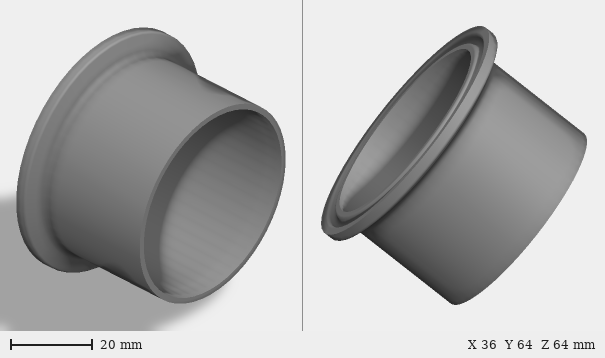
import cadquery as cq
import math

length = 36.0
flange_radius = 64 / 2
tube_radius = 53.0 / 2
bore_radius = 50.0 / 2

rim_width = 2.25
cone_angle = math.radians(20)
corner_radius = 0.8
cove_radius = 2.0

groove_outer_radius = 30.15
groove_inner_radius = 26.25
groove_center_radius = (groove_outer_radius + groove_inner_radius) / 2
groove_half_width = (groove_outer_radius - groove_inner_radius) / 2
groove_wall_angle = math.radians(70)
groove_edge_radius = 0.8
groove_bottom_radius = 1.15


def arc_point(center, radius, angle):
    """Point on a circle in the (axial, radial) half plane."""
    return (center[0] + radius * math.cos(angle), center[1] + radius * math.sin(angle))


def make_body():
    """Revolve the tube and flange wall around the X axis."""
    corner_center = (rim_width, flange_radius - corner_radius)
    cone_start = arc_point(corner_center, corner_radius, cone_angle)
    corner_mid = arc_point(corner_center, corner_radius, (cone_angle + math.pi / 2) / 2)

    cove_center_radius = tube_radius + cove_radius
    cone_end_radius = cove_center_radius - cove_radius * math.sin(cone_angle)
    cone_end_x = cone_start[0] + (cone_start[1] - cone_end_radius) * math.tan(cone_angle)
    cove_center = (cone_end_x + cove_radius * math.cos(cone_angle), cove_center_radius)
    cove_mid_angle = math.pi + (cone_angle + math.pi / 2) / 2

    return (
        cq.Workplane("XY")
        .moveTo(0, bore_radius)
        .lineTo(0, flange_radius)
        .lineTo(rim_width, flange_radius)
        .threePointArc(corner_mid, cone_start)
        .lineTo(cone_end_x, cone_end_radius)
        .threePointArc(arc_point(cove_center, cove_radius, cove_mid_angle), (cove_center[0], tube_radius))
        .lineTo(length, tube_radius)
        .lineTo(length, bore_radius)
        .close()
        .revolve(360, (0, 0, 0), (1, 0, 0))
    )


def make_groove():
    """Ring with rounded edges, sloped walls and a round bottom, symmetric about its pitch circle."""
    edge_depth = groove_edge_radius * (1 - math.cos(groove_wall_angle))
    wall_top = groove_half_width - groove_edge_radius * math.sin(groove_wall_angle)
    wall_bottom = groove_bottom_radius * math.sin(groove_wall_angle)
    wall_depth = edge_depth + (wall_top - wall_bottom) * math.tan(groove_wall_angle)
    groove_depth = wall_depth + groove_bottom_radius * (1 - math.cos(groove_wall_angle))

    half_angle = groove_wall_angle / 2
    edge_mid_depth = groove_edge_radius * (1 - math.cos(half_angle))
    edge_mid = groove_half_width - groove_edge_radius * math.sin(half_angle)

    center = groove_center_radius
    return (
        cq.Workplane("XY")
        .moveTo(0, center + groove_half_width)
        .threePointArc((edge_mid_depth, center + edge_mid), (edge_depth, center + wall_top))
        .lineTo(wall_depth, center + wall_bottom)
        .threePointArc((groove_depth, center), (wall_depth, center - wall_bottom))
        .lineTo(edge_depth, center - wall_top)
        .threePointArc((edge_mid_depth, center - edge_mid), (0, center - groove_half_width))
        .close()
        .revolve(360, (0, 0, 0), (1, 0, 0))
    )


result = make_body().cut(make_groove())